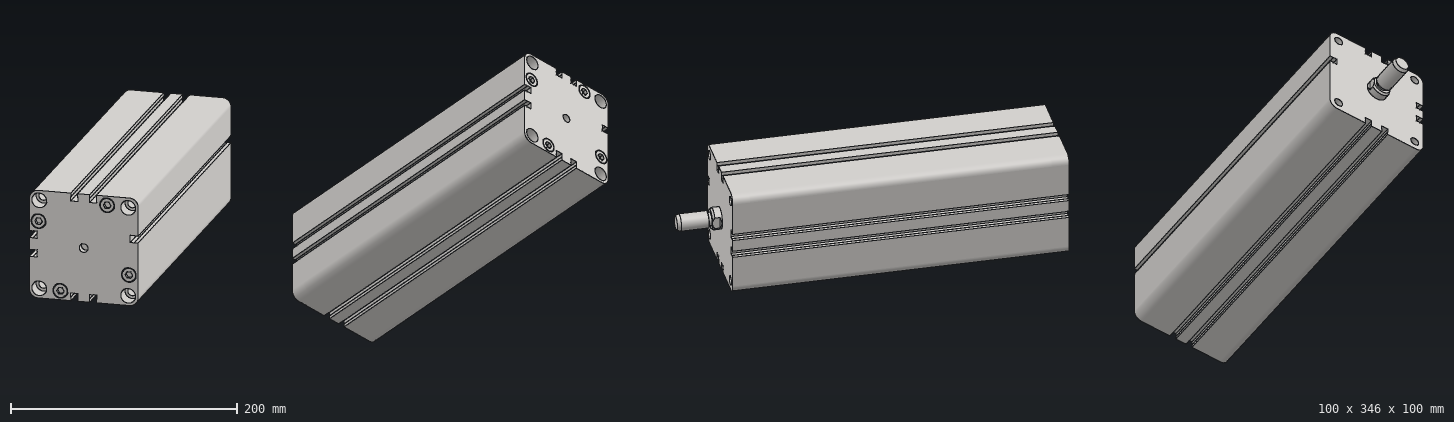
import cadquery as cq
import math

TOTAL_LENGTH = 346.0
BODY_WIDTH = 100.0
BODY_LENGTH = 306.0
CAP_LENGTH = 16.0
CORNER_RADIUS = 8.0
HALF_WIDTH = BODY_WIDTH / 2

SLOT_WIDTH = 6.2
SLOT_DEPTH = 7.3
SLOT_LIP_DEPTH = 3.5
SLOT_INNER_WIDTH = 6.5
SLOT_OFFSET = 8.5
SINGLE_SLOT_OFFSET = 12.0

BOLT_OFFSET = 41.0
BOLT_HOLE_DIAMETER = 8.3
BOLT_RECESS_DIAMETER = 13.5
BOLT_RECESS_DEPTH = 14.0
CENTRE_HOLE_DIAMETER = 8.0
CENTRE_HOLE_DEPTH = 7.0

SCREW_OFFSET = 21.5
SCREW_EDGE_OFFSET = 41.5
SCREW_RECESS_DIAMETER = 13.5
SCREW_HEAD_DIAMETER = 12.5
SCREW_GAP_DEPTH = 3.5
HEX_ACROSS_FLATS = 6.0
HEX_DEPTH = 3.5

COLLAR_DIAMETER = 20.0
COLLAR_LENGTH = 8.5
COLLAR_CHAMFER_LENGTH = 2.0
COLLAR_END_DIAMETER = 17.3
COLLAR_SHOULDER = 0.52
COLLAR_ACROSS_FLATS = 17.0
NECK_DIAMETER = 12.5
NECK_LENGTH = 2.8
THREAD_DIAMETER = 16.0
TIP_DIAMETER = 13.5
TIP_LENGTH = 3.5


def slot_cutter(offset, angle, length):
    """Slot, slightly wider below its lip, in the +Z side at the given X, turned about Y to another side."""
    mouth = cq.Workplane("XZ").center(offset, HALF_WIDTH).rect(SLOT_WIDTH, 2 * SLOT_DEPTH)
    inner_height = SLOT_DEPTH - SLOT_LIP_DEPTH
    inner_centre = HALF_WIDTH - SLOT_DEPTH + inner_height / 2
    inner = cq.Workplane("XZ").center(offset, inner_centre).rect(SLOT_INNER_WIDTH, inner_height)
    slot = mouth.extrude(-length)
    inner = inner.extrude(-length)
    return slot.union(inner).rotate((0, 0, 0), (0, 1, 0), angle)


def slotted_bar(start, length):
    """Rounded square bar: slot pairs in the +Z, -Z and -X sides, one slot in the +X side."""
    bar = cq.Workplane("XZ").rect(BODY_WIDTH, BODY_WIDTH).extrude(-length)
    bar = bar.edges("|Y").fillet(CORNER_RADIUS)
    for angle in (0, 180, -90):
        for offset in (-SLOT_OFFSET, SLOT_OFFSET):
            bar = bar.cut(slot_cutter(offset, angle, length))
    bar = bar.cut(slot_cutter(-SINGLE_SLOT_OFFSET, 90, length))
    return bar.translate((0, start, 0))


def make_body():
    """Profile with an end cap on each end, keeping the joint lines between them."""
    front_cap = slotted_bar(0, CAP_LENGTH)
    profile = slotted_bar(CAP_LENGTH, BODY_LENGTH - 2 * CAP_LENGTH)
    rear_cap = slotted_bar(BODY_LENGTH - CAP_LENGTH, CAP_LENGTH)
    return front_cap.union(profile, clean=False).union(rear_cap, clean=False)


def cylinders(points, diameter, depth):
    """Round cutters sunk into the end face at the given (X, Z) points."""
    return cq.Workplane("XZ").pushPoints(points).circle(diameter / 2).extrude(-depth)


def cut_bolt_holes(body):
    """Through holes in the four corners with round recesses, and the centre hole."""
    corners = [(x, z) for x in (-BOLT_OFFSET, BOLT_OFFSET) for z in (-BOLT_OFFSET, BOLT_OFFSET)]
    body = body.cut(cylinders(corners, BOLT_HOLE_DIAMETER, BODY_LENGTH), clean=False)
    body = body.cut(cylinders(corners, BOLT_RECESS_DIAMETER, BOLT_RECESS_DEPTH), clean=False)
    return body.cut(cylinders([(0, 0)], CENTRE_HOLE_DIAMETER, CENTRE_HOLE_DEPTH), clean=False)


def cut_screws(body):
    """Ring gaps and hexagon sockets of four screws, one along each side."""
    points = [
        (SCREW_OFFSET, SCREW_EDGE_OFFSET),
        (SCREW_EDGE_OFFSET, -SCREW_OFFSET),
        (-SCREW_OFFSET, -SCREW_EDGE_OFFSET),
        (-SCREW_EDGE_OFFSET, SCREW_OFFSET),
    ]
    gaps = cylinders(points, SCREW_RECESS_DIAMETER, SCREW_GAP_DEPTH).cut(
        cylinders(points, SCREW_HEAD_DIAMETER, SCREW_GAP_DEPTH)
    )
    across_corners = HEX_ACROSS_FLATS / math.cos(math.pi / 6)
    sockets = cq.Workplane("XZ").pushPoints(points).polygon(6, across_corners).extrude(-HEX_DEPTH)
    return body.cut(gaps, clean=False).cut(sockets, clean=False)


def make_rod():
    """Rod turned about Y: chamfered collar, narrow neck and chamfered thread shank."""
    collar_radius = COLLAR_DIAMETER / 2
    collar_end = BODY_LENGTH + COLLAR_LENGTH
    neck_end = collar_end + NECK_LENGTH
    return (
        cq.Workplane("XY")
        .moveTo(0, BODY_LENGTH)
        .lineTo(collar_radius, BODY_LENGTH)
        .lineTo(collar_radius, collar_end - COLLAR_CHAMFER_LENGTH)
        .lineTo(COLLAR_END_DIAMETER / 2, collar_end)
        .lineTo(NECK_DIAMETER / 2, collar_end)
        .lineTo(NECK_DIAMETER / 2, neck_end)
        .lineTo(THREAD_DIAMETER / 2, neck_end)
        .lineTo(THREAD_DIAMETER / 2, TOTAL_LENGTH - TIP_LENGTH)
        .lineTo(TIP_DIAMETER / 2, TOTAL_LENGTH)
        .lineTo(0, TOTAL_LENGTH)
        .close()
        .revolve(360, (0, 0, 0), (0, 1, 0))
    )


def cut_wrench_flats(rod):
    """Flats on the two X sides of the collar, running out at 45 degrees near the body."""
    flat_x = COLLAR_ACROSS_FLATS / 2
    outer_x = COLLAR_DIAMETER / 2
    runout_start = BODY_LENGTH + COLLAR_SHOULDER
    collar_end = BODY_LENGTH + COLLAR_LENGTH
    flat = (
        cq.Workplane("XY")
        .moveTo(outer_x, runout_start)
        .lineTo(outer_x, collar_end)
        .lineTo(flat_x, collar_end)
        .lineTo(flat_x, runout_start + outer_x - flat_x)
        .close()
        .extrude(outer_x, both=True)
    )
    return rod.cut(flat).cut(flat.mirror("YZ"))


body = make_body()
body = cut_bolt_holes(body)
body = cut_screws(body)
result = body.union(cut_wrench_flats(make_rod()), clean=False)